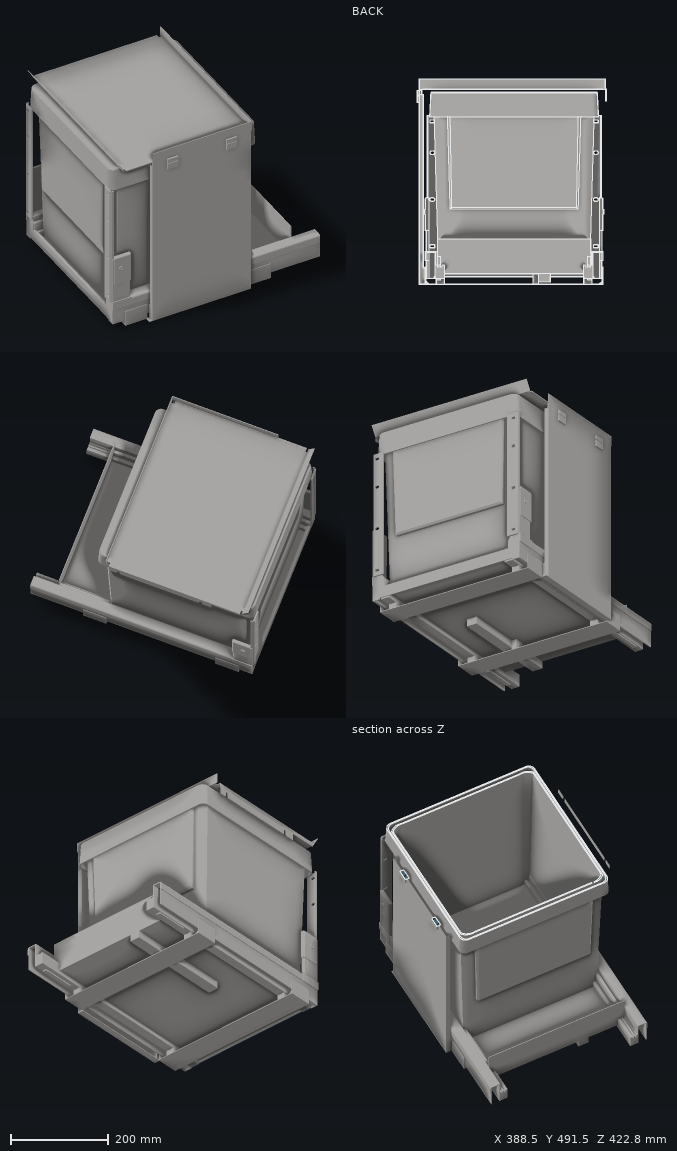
import cadquery as cq
import math


TOTAL_WIDTH = 388.45
TOTAL_DEPTH = 491.5
TOTAL_HEIGHT = 422.75
HOOK_RIGHT = 199.05
TRAY_LEFT = HOOK_RIGHT - TOTAL_WIDTH
SHEET = 1.5
DIAGONAL = math.sqrt(0.5)

FRAME_FRONT = 3.7
RAIL_OUTER = 182.5
RAIL_LOWER_OUTER = 180.8
RAIL_INNER = 160
RAIL_BOTTOM = 12.5
RAIL_STEP = 49.5
RAIL_TOP = 68.5
RAIL_WALL = 2
RAIL_ROUND = 5
RUNNER_INNER = 142.5
RUNNER_STEP = 151
RUNNER_TOP = 58
RUNNER_LOW_TOP = 40
GROOVE_WIDTH = 3
GROOVE_DEPTH = 4
FOOT_HEIGHT = 36
FOOT_SPANS = [(32.7, 85), (324, 375.4)]
GUSSET = 9
STOP_SPAN = (395, 470)
STOP_BOTTOM = 9.4

FRAME_HALF = 180
WINDOW_HALF = 152.6
FRAME_TOP = 67
WINDOW_BOTTOM = 41
BAR_BOTTOM = 16
BAR_HALF = 164
FRAME_CORNER = (5, 9)
SILL_BACK = 10
UPRIGHT_OUTER = 179
UPRIGHT_BACK = 8
UPRIGHT_TOP = 347.5
UPRIGHT_BEND = 3.5
SLOT_X = 167.8
SLOT_LENGTH = 9.5
ROUND_SLOT_HEIGHT = 6.5
FLAT_SLOT_HEIGHT = 5.2
FLAT_SLOT_Z = [79, 335.5]
ROUND_SLOT_Z = [174.8, 271]

BRACKET_BACK = 47
COVER_FRONT = 7.5
COVER_BACK = 48.5
COVER_BOTTOM = 111.5
COVER_TOP = 179
COVER_ROUND = 4
BRACKET_INNER = 175
BRACKET_ROUND = 5
BRACKET_ROOT_OUTER = 182.9
SCREW_Y = 22.8
SCREW_Z = 149.8
SCREW_DIAMETER = 10
SCREW_FACE = 184.3
SOCKET_WIDTH = 5
SOCKET_DEPTH = 1.5

BASE_BOTTOM = 22
BASE_HALF = 157.5
BASE_BACK = 437.5
BASE_WALL_TOP = 93.6
CHANNEL_X = (-74.5, -50.6)
CHANNEL_Y = (193, BASE_BACK)
CHANNEL_BOTTOM = 5.4
LATCH_RIGHT = -38.6
LATCH_Y = (324, 345)

BIN_CENTRE_Y = 176
BIN_FLOOR = BASE_BOTTOM + SHEET
BIN_WALL = 3
BODY_TOP = 389
BODY_HALF_X = (155, 165.5)
BODY_HALF_Y = (151, 161)
BODY_FLAT_X = 137
BODY_FLAT_Y = (145, 151.5)
RIM_BOTTOM = 344.5
RIM_TOP = 395.6
RIM_BOTTOM_HALF = (173.5, 173)
RIM_TOP_HALF = (171, 171.5)
RIM_CORNER = 13.5
RIM_EDGE = 2.5
RIM_SLOPE_INSET = 45
RIM_SLOPE_DROP = 3
PANEL_BOTTOM = 155
PANEL_BASE_HALF = (131.5, 137)
PANEL_FACE_HALF = (128, 131.5)
PANEL_EDGE = 3.5
PANEL_FACE_Y = (165.3, 167.5)
PANEL_SHOULDER_DROP = 4

TRAY_WALL_LEFT = -187.5
TRAY_RIGHT = 195.3
TRAY_FRONT = 22.5
TRAY_BACK = 323.6
TRAY_FLOOR = 400.5
TRAY_FOLD = 393
TRAY_NOTCH = 8
TRAY_FRONT_NOTCH = 5
LIP_FRONT = 9.5
LIP_SIDE = 1.5
FLANGE_Y = (90, 313.7)
FLANGE_BOTTOM = 377
KEYHOLE_Y = [114, 294.6]
KEYHOLE_WIDTH = 6.2
KEYHOLE_TOP = 389
KEYHOLE_MOUTH = 9
KEYHOLE_MOUTH_HEIGHT = 4
BEAD_LEFT = 191
BEAD_HEIGHT = 0.5

SUPPORT_Y = (89, 321)
SUPPORT_TOP = 390
SOLE_OVERLAP = 3
SUPPORT_INNER = 186
SUPPORT_FOOT_INNER = 181.5
SUPPORT_FOOT_TOP = 35
HANGER_INNER = 189.5
HOOK_SPANS = [(124, 149), (262.5, 287)]
HOOK_BOTTOM = 374
HOOK_TOP = 399
HOOK_SLIT = 388
HOOK_SLIT_HEIGHT = 1.2


def block(x_span, y_span, z_span):
    """Box between two coordinates on each axis."""
    spans = (x_span, y_span, z_span)
    sizes = [abs(b - a) for a, b in spans]
    corner = [min(span) for span in spans]
    return cq.Workplane("XY").box(*sizes, centered=False).translate(tuple(corner))


def both_sides(left):
    """A left-hand feature together with its mirror image in X."""
    return left.union(left.mirror("YZ"))


def rounded_wire(half_x, half_y, flat_x, flat_y, z):
    """Rectangle about the bin axis whose sides are straight up to flat_x and flat_y."""
    bulge_x = flat_x + (half_x - flat_x) * DIAGONAL
    bulge_y = flat_y + (half_y - flat_y) * DIAGONAL
    return (
        cq.Workplane("XY", origin=(0, BIN_CENTRE_Y, z))
        .moveTo(-flat_x, -half_y)
        .lineTo(flat_x, -half_y)
        .threePointArc((bulge_x, -bulge_y), (half_x, -flat_y))
        .lineTo(half_x, flat_y)
        .threePointArc((bulge_x, bulge_y), (flat_x, half_y))
        .lineTo(-flat_x, half_y)
        .threePointArc((-bulge_x, bulge_y), (-half_x, flat_y))
        .lineTo(-half_x, -flat_y)
        .threePointArc((-bulge_x, -bulge_y), (-flat_x, -half_y))
        .close()
        .val()
    )


def loft(*wires):
    return cq.Workplane(cq.Solid.makeLoft(list(wires), True))


def make_rails():
    """Inverted channel covers with stepped runners on their inner side."""
    y_span = (FRAME_FRONT + RAIL_WALL, TOTAL_DEPTH)
    cover = block((-RAIL_OUTER, -RAIL_INNER), y_span, (RAIL_STEP, RAIL_TOP))
    cover = cover.edges("|Y and <X and >Z").fillet(RAIL_ROUND)
    cover = cover.union(
        block((-RAIL_LOWER_OUTER, -RAIL_INNER), y_span, (RAIL_BOTTOM, RAIL_STEP))
    )
    hollow_x = (-RAIL_LOWER_OUTER + RAIL_WALL, -RAIL_INNER - RAIL_WALL)
    cover = cover.cut(block(hollow_x, y_span, (RAIL_BOTTOM, RAIL_TOP - RAIL_WALL)))
    fixed = block((-RAIL_INNER, -RUNNER_INNER), y_span, (RAIL_BOTTOM, RUNNER_LOW_TOP))
    for groove_x in (-RAIL_INNER + GROOVE_WIDTH, -RUNNER_STEP):
        groove_span = (groove_x, groove_x + GROOVE_WIDTH)
        groove_z = (RUNNER_LOW_TOP - GROOVE_DEPTH, RUNNER_LOW_TOP)
        fixed = fixed.cut(block(groove_span, y_span, groove_z))
    moving_x = (-RAIL_INNER + GROOVE_WIDTH, -RUNNER_STEP)
    moving = block(moving_x, (y_span[0], BASE_BACK), (RAIL_BOTTOM, RUNNER_TOP))
    stop = block((-RAIL_INNER, -RUNNER_STEP), STOP_SPAN, (STOP_BOTTOM, RAIL_BOTTOM))
    return both_sides(cover.union(fixed).union(moving).union(stop))


def make_foot(y_span):
    """Foot bracket pair joined by a thin strap, with a gusset in each outer corner."""
    back = y_span[1]
    plate = block((-RAIL_OUTER, -RAIL_LOWER_OUTER), y_span, (0, FOOT_HEIGHT))
    leg = block((-RAIL_INNER, -RUNNER_INNER), y_span, (0, RAIL_BOTTOM))
    gusset = (
        cq.Workplane("XZ", origin=(0, back, 0))
        .polyline([(-RAIL_OUTER, 0), (-RAIL_OUTER + GUSSET, 0), (-RAIL_OUTER, GUSSET)])
        .close()
        .extrude(SHEET)
    )
    strap = block((-RAIL_OUTER, RAIL_OUTER), y_span, (0, SHEET))
    return both_sides(plate.union(leg).union(gusset)).union(strap)


def make_frame():
    """Front plate with a window open at the top, and a sill folded back below it."""
    corner_x, corner_z = FRAME_CORNER
    right_half = [
        (BAR_HALF, BAR_BOTTOM),
        (BAR_HALF, RAIL_BOTTOM),
        (FRAME_HALF, RAIL_BOTTOM),
        (FRAME_HALF, FRAME_TOP),
        (WINDOW_HALF + corner_x, FRAME_TOP),
        (WINDOW_HALF, FRAME_TOP - corner_z),
        (WINDOW_HALF, WINDOW_BOTTOM),
    ]
    left_half = [(-x, z) for x, z in reversed(right_half)]
    plate = (
        cq.Workplane("XZ", origin=(0, FRAME_FRONT + RAIL_WALL, 0))
        .polyline(right_half + left_half)
        .close()
        .extrude(RAIL_WALL)
    )
    sill_z = (WINDOW_BOTTOM - RAIL_WALL, WINDOW_BOTTOM)
    sill = block((-WINDOW_HALF, WINDOW_HALF), (FRAME_FRONT, SILL_BACK), sill_z)
    return plate.union(sill)


def make_uprights():
    """Slotted vertical angle at each side of the front."""
    solid = block((-UPRIGHT_OUTER, -WINDOW_HALF), (0, UPRIGHT_BACK), (FRAME_TOP, UPRIGHT_TOP))
    solid = solid.edges("|Z and <X and <Y").chamfer(UPRIGHT_BEND)
    hollow = block(
        (-UPRIGHT_OUTER + RAIL_WALL, -WINDOW_HALF),
        (FRAME_FRONT, UPRIGHT_BACK),
        (FRAME_TOP, UPRIGHT_TOP),
    )
    angle = solid.cut(hollow)
    for z in ROUND_SLOT_Z:
        slot = cq.Workplane("XZ", origin=(-SLOT_X, UPRIGHT_BACK, z))
        angle = angle.cut(slot.slot2D(SLOT_LENGTH, ROUND_SLOT_HEIGHT).extrude(UPRIGHT_BACK))
    for z in FLAT_SLOT_Z:
        slot = cq.Workplane("XZ", origin=(-SLOT_X, UPRIGHT_BACK, z))
        angle = angle.cut(slot.rect(SLOT_LENGTH, FLAT_SLOT_HEIGHT).extrude(UPRIGHT_BACK))
    return both_sides(angle)


def make_brackets():
    """Brackets joining rail and upright, each with a rounded cover and one screw head."""
    top_z = COVER_TOP - COVER_ROUND
    stem = block((-RAIL_LOWER_OUTER, -BRACKET_INNER), (FRAME_FRONT, BRACKET_BACK), (RAIL_BOTTOM, top_z))
    stem = stem.edges("|Z and <X and >Y").fillet(BRACKET_ROUND)
    root = block((-BRACKET_ROOT_OUTER, -BRACKET_INNER), (FRAME_FRONT, COVER_BACK), (RAIL_STEP, RAIL_TOP))
    cover = block((-RAIL_OUTER, -BRACKET_INNER), (COVER_FRONT, COVER_BACK), (COVER_BOTTOM, COVER_TOP))
    cover = cover.edges("|Z and <X and >Y").fillet(BRACKET_ROUND)
    cover = cover.edges("|Y and <X and >Z").fillet(COVER_ROUND)
    screw = (
        cq.Workplane("YZ", origin=(-SCREW_FACE, SCREW_Y, SCREW_Z))
        .circle(SCREW_DIAMETER / 2)
        .extrude(SCREW_FACE - RAIL_LOWER_OUTER)
    )
    socket = (
        cq.Workplane("YZ", origin=(-SCREW_FACE, SCREW_Y, SCREW_Z))
        .polygon(6, SOCKET_WIDTH)
        .extrude(SOCKET_DEPTH)
    )
    return both_sides(stem.union(root).union(cover).union(screw).cut(socket))


def make_base():
    """Base sheet with a back wall, a sunken channel and a latch block under it."""
    floor_z = (BASE_BOTTOM, BASE_BOTTOM + SHEET)
    base = block((-RUNNER_STEP, RUNNER_STEP), (FRAME_FRONT, BASE_BACK), floor_z)
    wall_y = (BASE_BACK - SHEET, BASE_BACK)
    base = base.union(block((-BASE_HALF, BASE_HALF), wall_y, (BASE_BOTTOM, BASE_WALL_TOP)))
    channel = block(CHANNEL_X, CHANNEL_Y, (CHANNEL_BOTTOM, BASE_BOTTOM))
    latch = block((CHANNEL_X[1], LATCH_RIGHT), LATCH_Y, (0, BASE_BOTTOM))
    return base.union(channel).union(latch)


def make_panel():
    """Raised panel on the +Y face of the bin, following its taper."""

    def outline(half_bottom, half_top, bottom, y_bottom, y_top):
        return cq.Wire.makePolygon(
            [
                cq.Vector(-half_bottom, BIN_CENTRE_Y + y_bottom, bottom),
                cq.Vector(half_bottom, BIN_CENTRE_Y + y_bottom, bottom),
                cq.Vector(half_top, BIN_CENTRE_Y + y_top, RIM_BOTTOM + BIN_WALL),
                cq.Vector(-half_top, BIN_CENTRE_Y + y_top, RIM_BOTTOM + BIN_WALL),
            ],
            close=True,
        )

    face_bottom, face_top = PANEL_FACE_Y
    shoulder_y = (face_bottom - PANEL_SHOULDER_DROP, face_top - PANEL_SHOULDER_DROP)
    root_y = (BODY_HALF_Y[0], BODY_HALF_Y[1] - BIN_WALL)
    root = outline(*PANEL_BASE_HALF, PANEL_BOTTOM, *root_y)
    shoulder = outline(*PANEL_BASE_HALF, PANEL_BOTTOM, *shoulder_y)
    face = outline(*PANEL_FACE_HALF, PANEL_BOTTOM + PANEL_EDGE, *PANEL_FACE_Y)
    return loft(root, shoulder, face)


def make_body(inset, bottom, top):
    """Tapered bin body, drawn in by `inset` on all four sides."""
    wires = []
    for end, z in enumerate((bottom, top)):
        half_x = BODY_HALF_X[end] - inset
        half_y = BODY_HALF_Y[end] - inset
        wires.append(
            rounded_wire(half_x, half_y, BODY_FLAT_X - inset, BODY_FLAT_Y[end] - inset, z)
        )
    return loft(*wires)


def rim_wire(half_sizes, inset, z):
    half_x, half_y = (half - inset for half in half_sizes)
    return rounded_wire(half_x, half_y, half_x - RIM_CORNER, half_y - RIM_CORNER, z)


def make_bin():
    """Hollow tapered bin closed by a skirted lid whose top is slightly dished."""
    shoulder_z = RIM_TOP - RIM_EDGE
    rim = loft(
        rim_wire(RIM_BOTTOM_HALF, 0, RIM_BOTTOM),
        rim_wire(RIM_TOP_HALF, 0, shoulder_z),
        rim_wire(RIM_TOP_HALF, RIM_EDGE / 2, RIM_TOP),
    )
    skirt_gap = loft(
        rim_wire(RIM_BOTTOM_HALF, BIN_WALL, RIM_BOTTOM),
        rim_wire(RIM_TOP_HALF, BIN_WALL, shoulder_z - 2 * BIN_WALL),
    )
    dish = loft(
        rim_wire(RIM_TOP_HALF, RIM_EDGE, RIM_TOP),
        rim_wire(RIM_TOP_HALF, RIM_SLOPE_INSET, RIM_TOP - RIM_SLOPE_DROP),
    )
    panel = make_panel()
    opposite_panel = panel.mirror("XZ").translate((0, 2 * BIN_CENTRE_Y, 0))
    shell = rim.cut(skirt_gap).union(make_body(0, BIN_FLOOR, BODY_TOP))
    shell = shell.union(panel).union(opposite_panel).cut(dish)
    return shell.cut(make_body(BIN_WALL, BIN_FLOOR + BIN_WALL, BODY_TOP))


def make_tray():
    """Folded sheet tray: back wall, right wall, left hanging flange and sloped front lip."""
    floor_z = (TRAY_FLOOR, TRAY_FLOOR + SHEET)
    tray = block((TRAY_LEFT, TRAY_RIGHT), (TRAY_FRONT, TRAY_BACK), floor_z)
    fold_y = (TRAY_FRONT + TRAY_FRONT_NOTCH, TRAY_BACK - TRAY_NOTCH)
    for x in (TRAY_LEFT, TRAY_RIGHT - TRAY_NOTCH):
        notch_x = (x, x + TRAY_NOTCH)
        tray = tray.cut(block(notch_x, (TRAY_FRONT, fold_y[0]), floor_z))
        tray = tray.cut(block(notch_x, (fold_y[1], TRAY_BACK), floor_z))
    wall_z = (TRAY_FLOOR, TOTAL_HEIGHT)
    back_y = (TRAY_BACK - SHEET, TRAY_BACK)
    tray = tray.union(block((TRAY_WALL_LEFT, TRAY_RIGHT), back_y, wall_z))
    right_x = (TRAY_RIGHT - SHEET, TRAY_RIGHT)
    tray = tray.union(block(right_x, (FLANGE_Y[0], TRAY_BACK), wall_z))
    bead_z = (TRAY_FLOOR, TRAY_FLOOR + SHEET + BEAD_HEIGHT)
    tray = tray.union(block((BEAD_LEFT, TRAY_RIGHT), fold_y, bead_z))
    left_x = (TRAY_LEFT, TRAY_LEFT + SHEET)
    tray = tray.union(block(left_x, fold_y, (TRAY_FOLD, TRAY_FLOOR + SHEET)))
    tray = tray.union(block(left_x, FLANGE_Y, (FLANGE_BOTTOM, TRAY_FLOOR)))
    tray = tray.union(make_lip())
    for y in KEYHOLE_Y:
        tray = tray.cut(make_keyhole(y))
    return tray


def make_lip():
    """Strip leaning forward from the front edge of the tray floor."""
    foot_z = TRAY_FLOOR + SHEET
    return (
        cq.Workplane("YZ", origin=(TRAY_WALL_LEFT, 0, 0))
        .polyline(
            [
                (TRAY_FRONT + SHEET, TRAY_FLOOR),
                (TRAY_FRONT, TRAY_FLOOR),
                (TRAY_FRONT, foot_z),
                (LIP_FRONT, TOTAL_HEIGHT),
                (LIP_FRONT + SHEET, TOTAL_HEIGHT),
                (TRAY_FRONT + SHEET, foot_z),
            ]
        )
        .close()
        .extrude(TRAY_RIGHT - LIP_SIDE - TRAY_WALL_LEFT)
    )


def make_keyhole(y):
    """Cutter for a round-topped hanging slot, open at the bottom edge of the flange."""
    radius = KEYHOLE_WIDTH / 2
    half_mouth = KEYHOLE_MOUTH / 2
    shoulder = FLANGE_BOTTOM + KEYHOLE_MOUTH_HEIGHT
    return (
        cq.Workplane("YZ", origin=(TRAY_LEFT, 0, 0))
        .moveTo(y - half_mouth, FLANGE_BOTTOM)
        .lineTo(y - radius, shoulder)
        .lineTo(y - radius, KEYHOLE_TOP - radius)
        .threePointArc((y, KEYHOLE_TOP), (y + radius, KEYHOLE_TOP - radius))
        .lineTo(y + radius, shoulder)
        .lineTo(y + half_mouth, FLANGE_BOTTOM)
        .close()
        .extrude(SHEET)
    )


def make_support():
    """Upright sheet with returned edges on the right, carrying the tray on two hooks."""
    front, back = SUPPORT_Y
    wall_x = (TRAY_RIGHT - SHEET, TRAY_RIGHT)
    support = block(wall_x, SUPPORT_Y, (0, TRAY_FLOOR))
    for y in (front, back - SHEET):
        edge_y = (y, y + SHEET)
        support = support.union(block((SUPPORT_INNER, TRAY_RIGHT), edge_y, (0, SUPPORT_TOP)))
        foot_x = (SUPPORT_FOOT_INNER, TRAY_RIGHT)
        support = support.union(block(foot_x, edge_y, (0, SUPPORT_FOOT_TOP)))
    sole_y = (FOOT_SPANS[0][1] - SOLE_OVERLAP, back)
    support = support.union(block((SUPPORT_FOOT_INNER, TRAY_RIGHT), sole_y, (0, SHEET)))
    for span in HOOK_SPANS:
        hook = block((HANGER_INNER, HOOK_RIGHT), span, (HOOK_BOTTOM, HOOK_TOP))
        slit_z = (HOOK_SLIT, HOOK_SLIT + HOOK_SLIT_HEIGHT)
        hook = hook.cut(block((TRAY_RIGHT, HOOK_RIGHT), span, slit_z))
        support = support.union(hook)
    return support


result = make_rails()
for foot_span in FOOT_SPANS:
    result = result.union(make_foot(foot_span))
for part in (
    make_frame(),
    make_uprights(),
    make_brackets(),
    make_base(),
    make_bin(),
    make_support(),
    make_tray(),
):
    result = result.union(part)